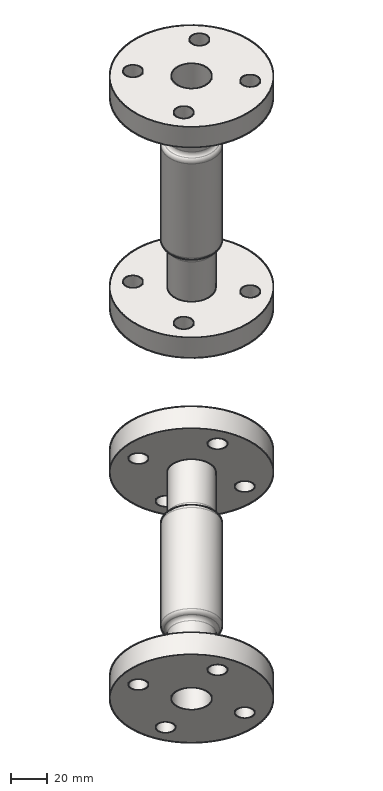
import cadquery as cq
import math

LENGTH = 162.0

FLANGE_DIAMETER = 90.0
FLANGE_THICKNESS = 14.4
BOLT_CIRCLE_DIAMETER = 65.0
BOLT_HOLE_DIAMETER = 11.0
BOLT_COUNT = 4

PIPE_DIAMETER = 26.9
BORE_DIAMETER = 22.4
SLEEVE_DIAMETER = 34.0
SLEEVE_STRAIGHT_LENGTH = 66.0
BLEND_RADIUS = 3.0

flange_radius = FLANGE_DIAMETER / 2
pipe_radius = PIPE_DIAMETER / 2
sleeve_radius = SLEEVE_DIAMETER / 2
blend_drop = (sleeve_radius - pipe_radius) / 2
blend_height = math.sqrt(BLEND_RADIUS**2 - (BLEND_RADIUS - blend_drop) ** 2)

half_length = LENGTH / 2
flange_inner_z = half_length - FLANGE_THICKNESS
sleeve_edge_z = SLEEVE_STRAIGHT_LENGTH / 2
blend_middle_z = sleeve_edge_z + blend_height
pipe_start_z = blend_middle_z + blend_height
blend_middle_radius = sleeve_radius - blend_drop


def revolved_body():
    """Flanges, pipe and sleeve as one solid of revolution about Z, traced from bottom to top."""
    profile = (
        cq.Workplane("XZ")
        .moveTo(0, -half_length)
        .lineTo(flange_radius, -half_length)
        .lineTo(flange_radius, -flange_inner_z)
        .lineTo(pipe_radius, -flange_inner_z)
        .lineTo(pipe_radius, -pipe_start_z)
        .radiusArc((blend_middle_radius, -blend_middle_z), BLEND_RADIUS)
        .radiusArc((sleeve_radius, -sleeve_edge_z), -BLEND_RADIUS)
        .lineTo(sleeve_radius, sleeve_edge_z)
        .radiusArc((blend_middle_radius, blend_middle_z), -BLEND_RADIUS)
        .radiusArc((pipe_radius, pipe_start_z), BLEND_RADIUS)
        .lineTo(pipe_radius, flange_inner_z)
        .lineTo(flange_radius, flange_inner_z)
        .lineTo(flange_radius, half_length)
        .lineTo(0, half_length)
        .close()
    )
    return profile.revolve(360, (0, 0, 0), (0, 1, 0))


def central_bore():
    """Straight bore through the whole part."""
    return cq.Workplane("XY").circle(BORE_DIAMETER / 2).extrude(half_length, both=True)


def bolt_holes():
    """Bolt holes through both flanges, straddling the X and Y axes."""
    first_angle = 180 / BOLT_COUNT
    return (
        cq.Workplane("XY")
        .polarArray(BOLT_CIRCLE_DIAMETER / 2, first_angle, 360, BOLT_COUNT)
        .circle(BOLT_HOLE_DIAMETER / 2)
        .extrude(half_length, both=True)
    )


result = revolved_body().cut(central_bore()).cut(bolt_holes())